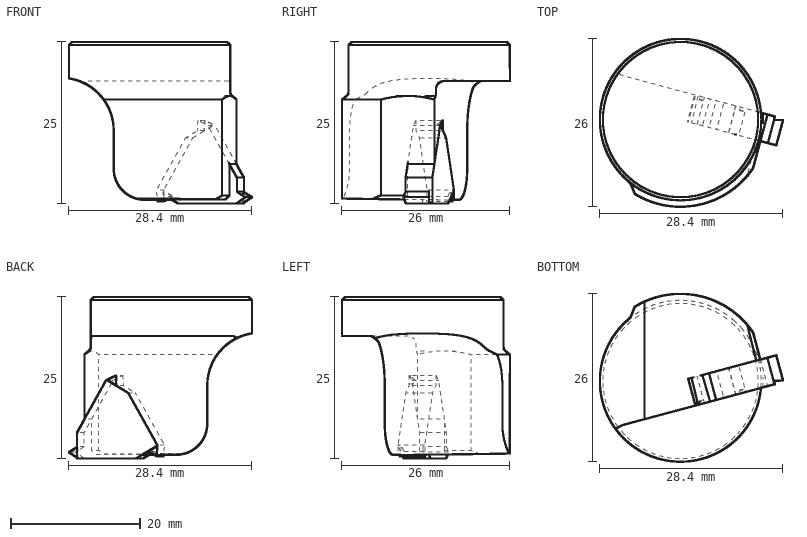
import cadquery as cq
import math

head_radius = 12.497
shank_radius = 13.5
top_chamfer = 0.48
holder_bottom = -24.43
reach = 28.37

neck_top = -7.7
neck_middle_radius = 12.77
neck_middle = -8.3
shank_top = -8.9

turn = -15.0
flat_distance = 12.8
flat_chamfer = 0.7
back_distance = 4.25
back_ceiling = -6.05
back_fillet = 1.2
bottom_rise_angle = 0.7

relief_x = -5.55
relief_radius = 8.09
relief_tangent = -13.65
heel_radius = 4.85

insert_along = 8.1
insert_height = -20.25
insert_thickness = 4.28
insert_corners = 3
shoulder = (5.87, -0.7)
notch = (5.87, -2.9)
tip = (7.23, -3.75)
tip_heel = (5.8, -4.75)
rake_root_depth = 0.55
rake_tip_depth = 0.2


def turned(body):
    """Turn a body from the insert frame into the main frame."""
    return body.rotate((0, 0, 0), (0, 0, 1), turn)


def make_round_blank():
    return (
        cq.Workplane("XZ")
        .lineTo(head_radius - top_chamfer, 0)
        .lineTo(head_radius, -top_chamfer)
        .lineTo(head_radius, neck_top)
        .tangentArcPoint((neck_middle_radius, neck_middle), relative=False)
        .lineTo(shank_radius, shank_top)
        .lineTo(shank_radius, holder_bottom)
        .lineTo(0, holder_bottom)
        .close()
        .revolve(360, (0, 0, 0), (0, 1, 0))
    )


def make_side_relief():
    """Concave arc under the head, a vertical wall and a convex heel."""
    diagonal = math.sqrt(0.5)
    arc_x = relief_x - relief_radius
    heel_x = relief_x + heel_radius
    heel_z = holder_bottom + heel_radius
    return (
        cq.Workplane("XZ")
        .moveTo(relief_x, relief_tangent)
        .threePointArc(
            (arc_x + relief_radius * diagonal, relief_tangent + relief_radius * diagonal),
            (arc_x, relief_tangent + relief_radius),
        )
        .lineTo(-reach, relief_tangent + relief_radius)
        .lineTo(-reach, -reach)
        .lineTo(heel_x, -reach)
        .lineTo(heel_x, holder_bottom)
        .threePointArc(
            (heel_x - heel_radius * diagonal, heel_z - heel_radius * diagonal),
            (relief_x, heel_z),
        )
        .close()
        .extrude(reach, both=True)
    )


def make_back_cut():
    """Space behind the back face, rounded where it meets the head."""
    cut = cq.Workplane("XY", origin=(-reach, back_distance, back_ceiling - reach)).box(
        2 * reach, reach, reach, centered=False
    )
    return turned(cut.edges("|X and >Z and <Y").fillet(back_fillet))


def make_flat_cut():
    """Flat on the insert side with a chamfer along its bottom edge."""
    cut = (
        cq.Workplane("XZ")
        .moveTo(flat_distance, 0)
        .lineTo(reach, 0)
        .lineTo(reach, holder_bottom)
        .lineTo(flat_distance - flat_chamfer, holder_bottom)
        .lineTo(flat_distance, holder_bottom + flat_chamfer)
        .close()
        .extrude(reach, both=True)
    )
    return turned(cut)


def make_bottom_cut():
    """Thin wedge that lets the bottom rise away from the back face."""
    rise = reach * math.tan(math.radians(bottom_rise_angle))
    cut = (
        cq.Workplane("YZ")
        .moveTo(back_distance, holder_bottom)
        .lineTo(back_distance - reach, holder_bottom + rise)
        .lineTo(back_distance - reach, holder_bottom)
        .close()
        .extrude(reach, both=True)
    )
    return turned(cut)


def place_insert(body):
    return turned(body.translate((insert_along, back_distance, insert_height)))


def make_insert_blank():
    """Plate with the same notched tip at each of its corners."""
    outline = []
    for corner in range(insert_corners):
        angle = -2 * math.pi * corner / insert_corners
        for along, up in (shoulder, notch, tip, tip_heel):
            outline.append((
                along * math.cos(angle) - up * math.sin(angle),
                along * math.sin(angle) + up * math.cos(angle),
            ))
    return cq.Workplane("XZ").polyline(outline).close().extrude(insert_thickness)


def make_rake_cut():
    """Sloped groove behind one cutting tip."""
    return (
        cq.Workplane("XY", origin=(0, 0, tip_heel[1]))
        .moveTo(notch[0], 0)
        .lineTo(notch[0], -rake_root_depth)
        .lineTo(tip[0], -rake_tip_depth)
        .lineTo(tip[0], 0)
        .close()
        .extrude(notch[1] - tip_heel[1])
    )


def make_insert():
    insert = make_insert_blank()
    for corner in range(insert_corners):
        angle = 360 * corner / insert_corners
        insert = insert.cut(make_rake_cut().rotate((0, 0, 0), (0, 1, 0), angle))
    return place_insert(insert)


def make_holder():
    return (
        make_round_blank()
        .cut(make_flat_cut())
        .cut(make_back_cut())
        .cut(make_bottom_cut())
        .cut(make_side_relief())
        .cut(place_insert(make_insert_blank()))
    )


holder = make_holder()
insert = make_insert()
result = cq.Compound.makeCompound([*holder.vals(), *insert.vals()])